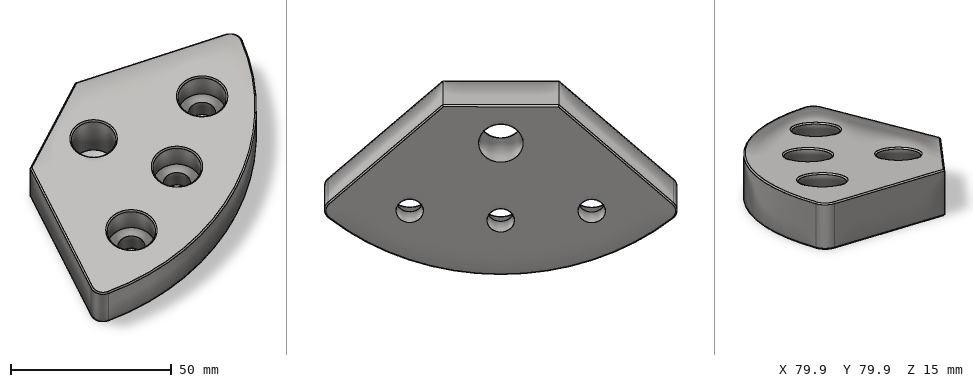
import cadquery as cq
import math

side = 79.9
thickness = 15.0
corner_radius = 4.0
corner_cut = 25.6
edge_chamfer = 0.5

tip_center = side - corner_radius
arc_radius = corner_radius + math.hypot(tip_center, corner_radius)

screw_diameter = 8.5
counterbore_diameter = 15.0
counterbore_depth = 8.6
screw_near = 20.0
screw_far = 60.0
screw_middle = 42.4
screw_points = [
    (screw_near, screw_far),
    (screw_middle, screw_middle),
    (screw_far, screw_near),
]
bore_diameter = 13.8
bore_place = 22.5


def make_plate():
    """Quarter disc with its square corner cut off, tips rounded and rims chamfered."""
    tip_angle = math.atan2(corner_radius, tip_center)
    arc_end_x = arc_radius * math.cos(tip_angle)
    arc_end_y = arc_radius * math.sin(tip_angle)
    mid_angle = (tip_angle - math.pi / 2) / 2
    tip_mid_x = tip_center + corner_radius * math.cos(mid_angle)
    tip_mid_y = corner_radius + corner_radius * math.sin(mid_angle)
    arc_mid = arc_radius * math.cos(math.pi / 4)

    outline = (
        cq.Workplane("XY")
        .moveTo(corner_cut, 0)
        .lineTo(tip_center, 0)
        .threePointArc((tip_mid_x, tip_mid_y), (arc_end_x, arc_end_y))
        .threePointArc((arc_mid, arc_mid), (arc_end_y, arc_end_x))
        .threePointArc((tip_mid_y, tip_mid_x), (0, tip_center))
        .lineTo(0, corner_cut)
        .close()
    )
    return outline.extrude(thickness).faces("<Z or >Z").edges().chamfer(edge_chamfer)


def make_hole(point, diameter, depth):
    """Round cutter going down from the top face, with a chamfered mouth."""
    cutter = (
        cq.Workplane("XY", origin=(*point, thickness - depth))
        .circle(diameter / 2)
        .extrude(depth)
    )
    mouth = (
        cq.Workplane("XY", origin=(*point, thickness))
        .circle(diameter / 2 + edge_chamfer)
        .extrude(-edge_chamfer, taper=45)
    )
    return cutter.union(mouth)


result = make_plate()
for screw_point in screw_points:
    result = result.cut(make_hole(screw_point, counterbore_diameter, counterbore_depth))
result = (
    result.faces("<Z").workplane(origin=(0, 0, 0), invert=True)
    .pushPoints(screw_points)
    .circle(screw_diameter / 2)
    .cutThruAll()
)
result = result.cut(make_hole((bore_place, bore_place), bore_diameter, thickness))